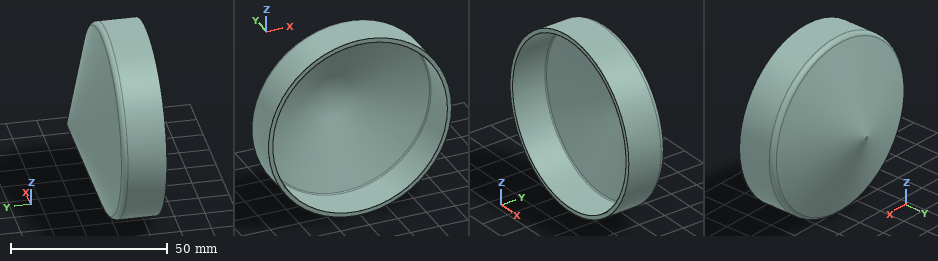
import cadquery as cq
import math

outer_diameter = 64.0
inner_diameter = 61.0
total_height = 26.0
cone_angle = math.radians(20.5)
inner_shoulder_radius = 0.5

outer_radius = outer_diameter / 2
inner_radius = inner_diameter / 2
wall = outer_radius - inner_radius
apex_y = total_height - wall

shoulder_x = inner_radius - inner_shoulder_radius
shoulder_y = apex_y - shoulder_x * math.tan(cone_angle) - inner_shoulder_radius / math.cos(cone_angle)


def arc_point(center_x, center_y, radius, angle):
    """Point on a circle at an angle measured from the X direction."""
    return (center_x + radius * math.cos(angle), center_y + radius * math.sin(angle))


def dome_profile(skirt_radius, tip_radius):
    """Closed half section: skirt, shoulder arc, sloping roof and optional round tip."""
    shoulder_radius = skirt_radius - shoulder_x
    roof_normal = math.pi / 2 - cone_angle
    profile = (
        cq.Workplane("XY")
        .lineTo(skirt_radius, 0)
        .lineTo(skirt_radius, shoulder_y)
        .threePointArc(
            arc_point(shoulder_x, shoulder_y, shoulder_radius, roof_normal / 2),
            arc_point(shoulder_x, shoulder_y, shoulder_radius, roof_normal),
        )
        .lineTo(*arc_point(0, apex_y, tip_radius, roof_normal))
    )
    if tip_radius > 0:
        tip_middle = (roof_normal + math.pi / 2) / 2
        profile = profile.threePointArc(
            arc_point(0, apex_y, tip_radius, tip_middle),
            (0, apex_y + tip_radius),
        )
    return profile.close()


def revolve_about_y(profile):
    return profile.revolve(360, (0, 0, 0), (0, 1, 0))


body = revolve_about_y(dome_profile(outer_radius, wall))
cavity = revolve_about_y(dome_profile(inner_radius, 0))
result = body.cut(cavity)